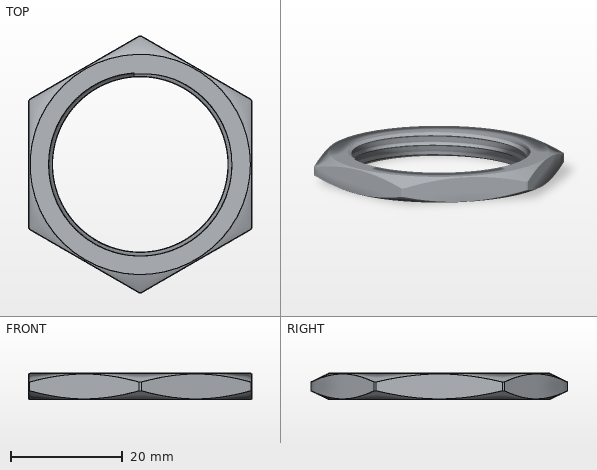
import cadquery as cq
import math

thickness = 4.75
across_flats = 40.0
corner_diameter = 46.0
face_diameter = 39.45
corner_land_height = 1.55

bore_radius = 16.4
crest_radius = 15.75
pitch = 1.75
thread_turns = 3
thread_flank_angle = 30.0
end_crest_depth = 0.28
thread_end_angle = 94.0
root_overlap = 0.2


def make_hex_body():
    """Hexagon with corners on the Y axis, cut by a cylinder and two cones."""
    hexagon_diameter = across_flats / math.cos(math.radians(30))
    hexagon = (
        cq.Workplane("XY")
        .polygon(6, hexagon_diameter)
        .extrude(thickness)
        .rotate((0, 0, 0), (0, 0, 1), 30)
    )
    face_radius = face_diameter / 2
    corner_radius = corner_diameter / 2
    land_bottom = (thickness - corner_land_height) / 2
    land_top = land_bottom + corner_land_height
    envelope = (
        cq.Workplane("XZ")
        .polyline([
            (0, 0),
            (face_radius, 0),
            (corner_radius, land_bottom),
            (corner_radius, land_top),
            (face_radius, thickness),
            (0, thickness),
        ])
        .close()
        .revolve(360, (0, 0, 0), (0, 1, 0))
    )
    bore = cq.Workplane("XY").circle(bore_radius).extrude(thickness)
    return hexagon.intersect(envelope).cut(bore)


def make_thread():
    """Right-hand triangular ridge, trimmed flush with both end faces."""
    length = pitch * thread_turns
    start_height = thickness - end_crest_depth - length
    root_radius = bore_radius + root_overlap
    half_width = (root_radius - crest_radius) * math.tan(math.radians(thread_flank_angle))
    path = cq.Wire.makeHelix(pitch, length, bore_radius)
    ridge = (
        cq.Workplane("XZ")
        .polyline([
            (crest_radius, 0),
            (root_radius, -half_width),
            (root_radius, half_width),
        ])
        .close()
        .sweep(cq.Workplane(path), isFrenet=True)
        .rotate((0, 0, 0), (0, 0, 1), thread_end_angle)
        .translate((0, 0, start_height))
    )
    slab = cq.Workplane("XY").circle(face_diameter / 2).extrude(thickness)
    return ridge.intersect(slab)


result = make_hex_body().union(make_thread())